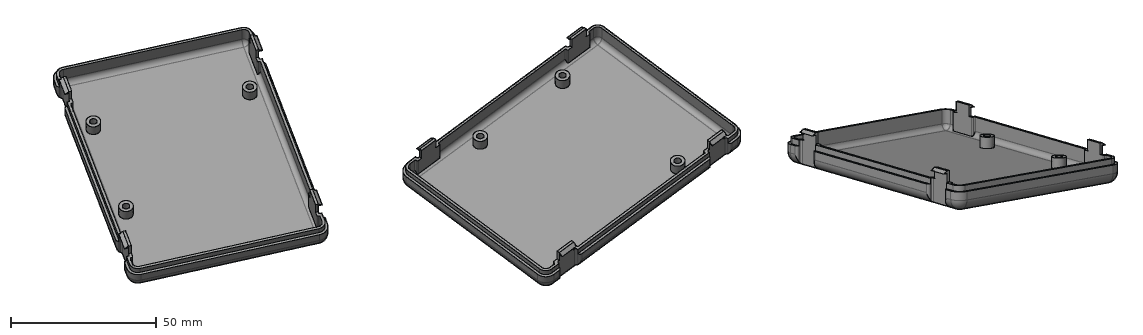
import cadquery as cq

LENGTH = 97.0
WIDTH = 72.0
SHOULDER_HEIGHT = 7.0
RIM_HEIGHT = 9.0
TOTAL_HEIGHT = 13.0

CORNER_RADIUS = 4.0
WALL = CORNER_RADIUS / 2
RIM_WALL = WALL / 2
FLOOR = WALL

TAB_X = 36.5
TAB_WIDTH = 7.0
TAB_THICKNESS = RIM_WALL
POCKET_WIDTH = 9.0
POCKET_DEPTH = WALL
POCKET_MOUTH_RADIUS = RIM_WALL
POCKET_CORNER_RADIUS = POCKET_MOUTH_RADIUS / 2
JOG_WIDTH = POCKET_WIDTH + 2 * TAB_THICKNESS
JOG_RADIUS = 0.4
HOOK_HEIGHT = 1.0
HOOK_REACH = 1.5

BOSS_DIAMETER = 5.0
BOSS_HOLE_DIAMETER = 2.5
BOSS_HEIGHT = 4.0
BOSS_LEFT_X = -23.5
BOSS_RIGHT_X = 16.5
BOSS_Y = 28.0
BOSS_CENTERS = [(BOSS_LEFT_X, -BOSS_Y), (BOSS_LEFT_X, BOSS_Y), (BOSS_RIGHT_X, -BOSS_Y)]

FRONT_Y = -WIDTH / 2
POCKET_FLOOR_Y = FRONT_Y + POCKET_DEPTH
TAB_INNER_Y = POCKET_FLOOR_Y + TAB_THICKNESS


def rounded_block(inset, bottom, top):
    """Block with rounded upright corners, inset from the tray envelope."""
    return (
        cq.Workplane("XY", origin=(0, 0, bottom))
        .rect(LENGTH - 2 * inset, WIDTH - 2 * inset)
        .extrude(top - bottom)
        .edges("|Z")
        .fillet(CORNER_RADIUS - inset)
    )


def stepped_profile(width, edge_y, end_y, foot_radius, end_radius):
    """Closed outline, centred on x = 0, of a recess or bump that runs in +Y from a wall face.

    The sides flare into the wall face at edge_y with foot_radius and the far
    corners at end_y are rounded with end_radius.
    """
    half = width / 2
    return (
        cq.Workplane("XY")
        .moveTo(-half - foot_radius, edge_y)
        .radiusArc((-half, edge_y + foot_radius), -foot_radius)
        .lineTo(-half, end_y - end_radius)
        .radiusArc((-half + end_radius, end_y), end_radius)
        .lineTo(half - end_radius, end_y)
        .radiusArc((half, end_y - end_radius), end_radius)
        .lineTo(half, edge_y + foot_radius)
        .radiusArc((half + foot_radius, edge_y), -foot_radius)
        .close()
    )


def at_all_tabs(front_feature):
    """Copy a feature centred on x = 0 of the front wall to all four tab positions."""
    pair = front_feature.translate((-TAB_X, 0, 0)).add(front_feature.translate((TAB_X, 0, 0)))
    return pair.add(pair.mirror("XZ")).combine()


def make_outer_body():
    lower = rounded_block(0, 0, SHOULDER_HEIGHT).faces("<Z").edges().fillet(CORNER_RADIUS)
    return lower.union(rounded_block(RIM_WALL, SHOULDER_HEIGHT - RIM_WALL, RIM_HEIGHT))


def make_cavity():
    block = rounded_block(WALL, FLOOR, RIM_HEIGHT)
    return block.faces("<Z").edges().fillet(CORNER_RADIUS - WALL)


def make_jog():
    return stepped_profile(
        JOG_WIDTH, FRONT_Y + WALL, TAB_INNER_Y, JOG_RADIUS, JOG_RADIUS
    ).extrude(RIM_HEIGHT)


def make_pocket():
    return stepped_profile(
        POCKET_WIDTH, FRONT_Y, POCKET_FLOOR_Y, POCKET_MOUTH_RADIUS, POCKET_CORNER_RADIUS
    ).extrude(RIM_HEIGHT)


def make_tab():
    hook_bottom = TOTAL_HEIGHT - HOOK_HEIGHT
    return (
        cq.Workplane("YZ", origin=(-TAB_WIDTH / 2, 0, 0))
        .moveTo(TAB_INNER_Y, FLOOR)
        .lineTo(TAB_INNER_Y, TOTAL_HEIGHT)
        .lineTo(POCKET_FLOOR_Y, TOTAL_HEIGHT)
        .lineTo(POCKET_FLOOR_Y - HOOK_REACH, hook_bottom)
        .lineTo(POCKET_FLOOR_Y, hook_bottom)
        .lineTo(POCKET_FLOOR_Y, FLOOR)
        .close()
        .extrude(TAB_WIDTH)
    )


def make_bosses():
    return (
        cq.Workplane("XY", origin=(0, 0, FLOOR / 2))
        .pushPoints(BOSS_CENTERS)
        .circle(BOSS_DIAMETER / 2)
        .extrude(FLOOR / 2 + BOSS_HEIGHT)
    )


def make_boss_holes():
    return (
        cq.Workplane("XY", origin=(0, 0, FLOOR))
        .pushPoints(BOSS_CENTERS)
        .circle(BOSS_HOLE_DIAMETER / 2)
        .extrude(BOSS_HEIGHT)
    )


cavity = make_cavity().cut(at_all_tabs(make_jog()))
tray = make_outer_body().cut(cavity).cut(at_all_tabs(make_pocket()))
result = tray.union(at_all_tabs(make_tab())).union(make_bosses()).cut(make_boss_holes())